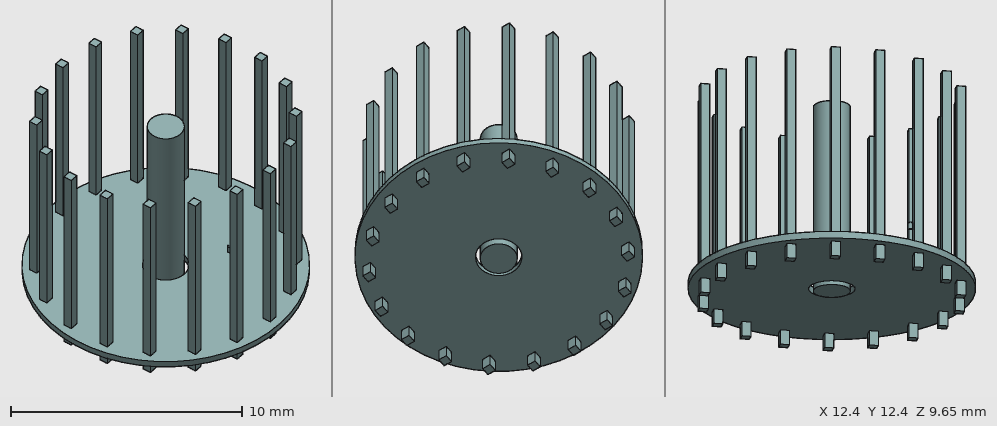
import cadquery as cq

PLATE_DIAMETER = 12.43
PLATE_THICKNESS = 0.31
BORE_DIAMETER = 2.0

PIN_COUNT = 18
PIN_SIDE = 0.4
PIN_LENGTH = 9.65
PIN_CIRCLE_RADIUS = 5.62
PIN_DROP = 0.66

POST_DIAMETER = 1.6
POST_LENGTH = 8.5
POST_DROP = 0.1

PEG_DIAMETER = 0.2
PEG_LENGTH = 0.3
PEG_X = 3.47
PEG_BASE_Z = 3.01



def make_pin_plate():
    """Disc with a central bore and a ring of square pins through it."""
    plate = cq.Workplane("XY").circle(PLATE_DIAMETER / 2).circle(BORE_DIAMETER / 2).extrude(PLATE_THICKNESS)
    pins = (
        cq.Workplane("XY")
        .workplane(offset=-PIN_DROP)
        .polarArray(PIN_CIRCLE_RADIUS, 0, 360, PIN_COUNT, rotate=False)
        .rect(PIN_SIDE, PIN_SIDE)
        .extrude(PIN_LENGTH)
    )
    return plate.union(pins)


def make_post():
    """Plain round post on the plate axis."""
    return cq.Workplane("XY").workplane(offset=-POST_DROP).circle(POST_DIAMETER / 2).extrude(POST_LENGTH)


def make_peg():
    """Small half-round peg, upright, with its flat facing +Y."""
    radius = PEG_DIAMETER / 2
    return (
        cq.Workplane("XY")
        .workplane(offset=PEG_BASE_Z)
        .moveTo(PEG_X - radius, 0)
        .threePointArc((PEG_X, -radius), (PEG_X + radius, 0))
        .close()
        .extrude(PEG_LENGTH)
    )


pin_plate = make_pin_plate()
post = make_post()
peg = make_peg()

result = cq.Compound.makeCompound([pin_plate.val(), post.val(), peg.val()])